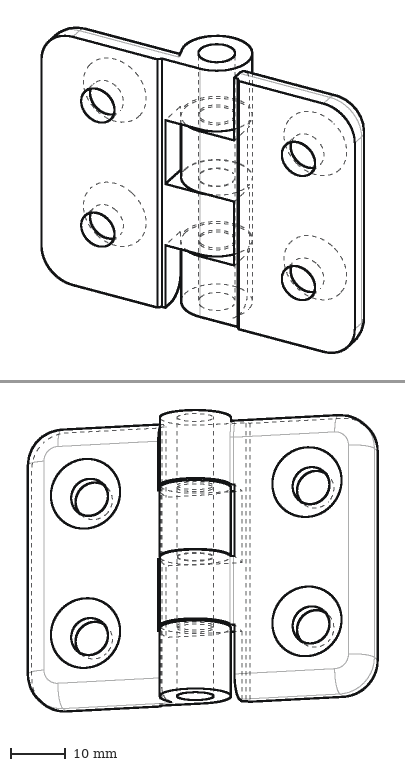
import cadquery as cq

length = 65.0
height = 52.0
plate_thickness = 6.5
corner_radius = 6.5
back_edge_radius = 3.9

barrel_radius = 6.5
pin_diameter = 6.7
relief_depth = 0.65
relief_half_width = 7.85
relief_side_width = 0.6
barrel_clearance = 0.65
middle_gap = 0.1
outer_gap = 0.4
knuckle_root_radius = 0.5

hole_diameter = 6.9
hole_straight_depth = 3.45
hole_offset_x = 20.8
hole_offset_z = 13.0

axis_y = relief_depth + barrel_radius
plate_inner_x = barrel_radius + barrel_clearance
inner_knuckle_near = middle_gap / 2
inner_knuckle_far = height / 4 - outer_gap / 4
outer_knuckle_near = inner_knuckle_far + outer_gap
knuckle_spans = [
    (outer_knuckle_near, height / 2),
    (-inner_knuckle_far, -inner_knuckle_near),
]


def box_between(x0, x1, y0, y1, z0, z1):
    return cq.Workplane("XY").box(x1 - x0, y1 - y0, z1 - z0, centered=False).translate((x0, y0, z0))


def axis_cylinder(radius, z0, z1):
    return cq.Workplane("XY", origin=(0, axis_y, z0)).circle(radius).extrude(z1 - z0)


def make_plate_blank():
    """Plate from the outer edge to the hinge axis, rounded on its outer corners and back edges."""
    blank = box_between(-length / 2, length / 2, 0, plate_thickness, -height / 2, height / 2)
    blank = blank.edges("|Y").fillet(corner_radius)
    blank = blank.faces(">Y").edges().fillet(back_edge_radius)
    return blank.intersect(box_between(-length / 2, 0, 0, plate_thickness, -height / 2, height / 2))


def make_relief():
    """Shallow front recess with a sloped side."""
    return (
        cq.Workplane("XY", origin=(0, 0, -height / 2))
        .polyline([
            (-relief_half_width - relief_side_width, 0),
            (-relief_half_width, relief_depth),
            (0, relief_depth),
            (0, 0),
        ])
        .close()
        .extrude(height)
    )


def make_screw_hole(z):
    """Through hole with a 90 degree countersink that opens at the back of the plate."""
    hole_radius = hole_diameter / 2
    countersink_radius = hole_radius + plate_thickness - hole_straight_depth
    return (
        cq.Workplane("XY", origin=(-hole_offset_x, 0, z))
        .polyline([
            (0, 0),
            (hole_radius, 0),
            (hole_radius, hole_straight_depth),
            (countersink_radius, plate_thickness),
            (0, plate_thickness),
        ])
        .close()
        .revolve(360, (0, 0), (0, 1))
    )


def round_knuckle_roots(leaf):
    """Fillet the vertical corners between the back of the plate and the barrels."""
    search_margin = barrel_clearance / 2
    root_zone = cq.selectors.BoxSelector(
        (-barrel_radius - search_margin, plate_thickness - search_margin, -height / 2),
        (-barrel_radius + search_margin, plate_thickness + search_margin, height / 2),
    )
    root_edges = leaf.edges(root_zone).edges("|Z")
    return leaf.newObject(root_edges.vals()).fillet(knuckle_root_radius)


def make_leaf():
    """Left leaf; half a turn about Y gives the opposite leaf."""
    blank = make_plate_blank().cut(make_relief())
    leaf = blank.intersect(
        box_between(-length / 2, -plate_inner_x, 0, plate_thickness, -height / 2, height / 2)
    )
    for z0, z1 in knuckle_spans:
        web = blank.intersect(box_between(-plate_inner_x, 0, 0, plate_thickness, z0, z1))
        leaf = leaf.union(web).union(axis_cylinder(barrel_radius, z0, z1))
    leaf = round_knuckle_roots(leaf)
    bore = axis_cylinder(pin_diameter / 2, -height / 2, height / 2)
    leaf = leaf.cut(bore)
    for z in (-hole_offset_z, hole_offset_z):
        leaf = leaf.cut(make_screw_hole(z))
    return leaf


left_leaf = make_leaf()
right_leaf = left_leaf.rotate((0, 0, 0), (0, 1, 0), 180)
pin = axis_cylinder(pin_diameter / 2, -height / 2, height / 2)

result = cq.Compound.makeCompound([left_leaf.val(), right_leaf.val(), pin.val()])